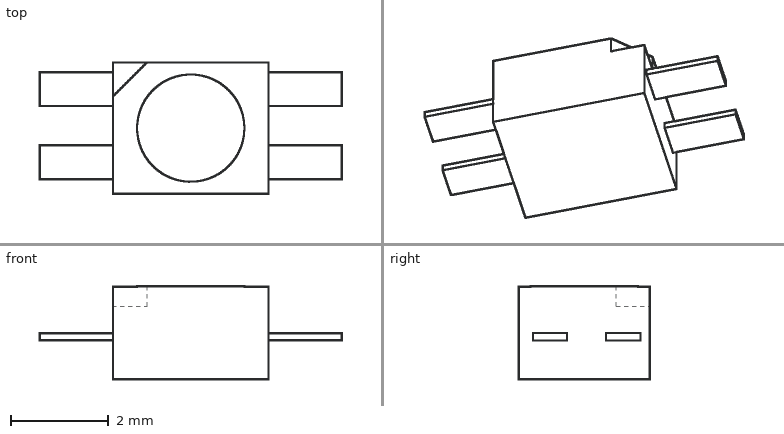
import cadquery as cq

span = 6.2
height = 1.92

body_length = 3.2
body_width = 2.7
lens_rise = 0.02
body_height = height - lens_rise

lens_diameter = 2.2

notch_leg = 0.7
notch_depth = 0.4

lead_width = 0.7
lead_thickness = 0.15
lead_bottom = 0.8
lead_pitch = 1.5
lead_offset = 0.05


def make_body():
    """Rectangular block standing on the XY plane."""
    return cq.Workplane("XY").box(body_length, body_width, body_height, centered=(True, True, False))


def make_notch():
    """Triangular prism at the top of the -X, +Y corner."""
    corner_x = -body_length / 2
    corner_y = body_width / 2
    return (
        cq.Workplane("XY")
        .workplane(offset=body_height - notch_depth)
        .moveTo(corner_x, corner_y)
        .lineTo(corner_x + notch_leg, corner_y)
        .lineTo(corner_x, corner_y - notch_leg)
        .close()
        .extrude(notch_depth)
    )


def make_lens():
    """Thin disc raised above the top face."""
    return cq.Workplane("XY").workplane(offset=body_height).circle(lens_diameter / 2).extrude(lens_rise)


def make_leads():
    """Two straight strips that pass through the body and stick out at both ends."""
    lead_centres = [(0, lead_offset + side * lead_pitch / 2) for side in (-1, 1)]
    return (
        cq.Workplane("XY")
        .workplane(offset=lead_bottom)
        .pushPoints(lead_centres)
        .rect(span, lead_width)
        .extrude(lead_thickness)
    )


result = make_body().cut(make_notch()).union(make_lens()).union(make_leads())